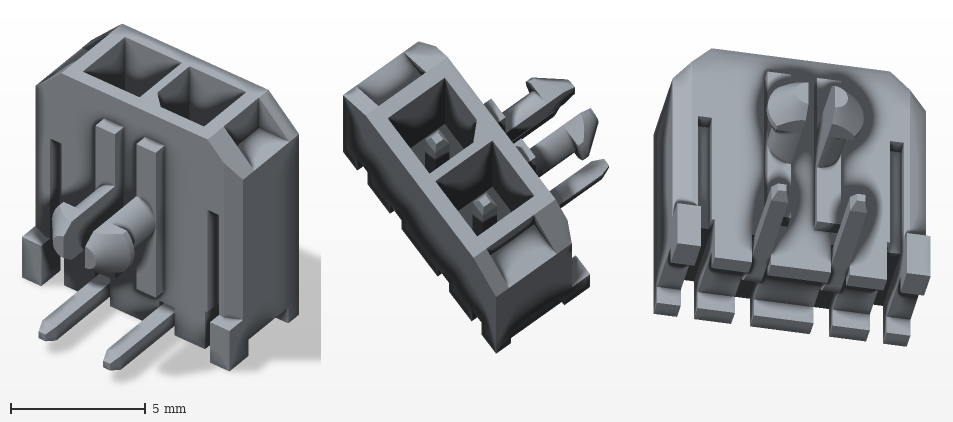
import cadquery as cq
import math


width = 9.65
height = 9.9
depth = 3.8
half_width = width / 2
front_y = -depth
corner_chamfer = 1.425
bevel_x = 0.675
bevel_y = 0.3
base_height = 1.9

standoff = 0.55
standoff_y = front_y - standoff

slot_outer_x = 3.92
slot_width = 0.53
slot_depth = 0.6
slot_top = 6.6
lower_slot_width = 0.64
lower_slot_top = 1.79

leg_gap = 1.0
rib_width = 0.9
rib_top = 8.7

tip_y = -7.55
leg_axis_x = leg_gap / 2
post_z = 5.35
shaft_radius = rib_width
head_radius = 1.325
nose_radius = 0.5
head_y = -6.25
cone_y = -6.5

pitch = 3.0
pin_size = 0.65
pin_tip_size = 0.32
pin_taper_length = 0.45
pin_y = -1.92
pin_tail_z = 0.72
pin_top = 8.0
bend_outer_radius = 0.9
bend_inner_radius = bend_outer_radius - pin_size

socket_size = 2.64
socket_floor = 3.0
key_chamfer = 0.62

end_pocket_back_y = -0.6
end_pocket_front_y = -2.8

channel_back_y = -0.68
channel_front_y = -3.15
channel_height = 0.76
pin_notch_width = 0.72
pin_notch_height = 1.31


def box(x_range, y_range, z_range):
    """Axis-aligned box between two limits along each axis."""
    (x0, x1), (y0, y1), (z0, z1) = x_range, y_range, z_range
    return cq.Workplane("XY").box(x1 - x0, y1 - y0, z1 - z0, centered=False).translate((x0, y0, z0))


def mirrored_pair(shape):
    """A shape on the +X side together with its mirror image."""
    return shape.union(shape.mirror("YZ"))


def housing_block():
    """Block with chamfered top corners and bevelled upright front corners."""
    block = box((-half_width, half_width), (front_y, 0), (0, height))
    block = block.edges("|Y and >Z").chamfer(corner_chamfer)
    bevel = (
        cq.Workplane("XY", origin=(0, 0, base_height))
        .moveTo(half_width, front_y)
        .lineTo(half_width, front_y + bevel_y)
        .lineTo(half_width - bevel_x, front_y)
        .close()
        .extrude(height - base_height)
    )
    return block.cut(mirrored_pair(bevel))


def feet():
    return mirrored_pair(box((slot_outer_x, half_width), (standoff_y, front_y + bevel_y), (0, base_height)))


def ribs():
    rib_x = (leg_axis_x, leg_axis_x + rib_width)
    return mirrored_pair(box(rib_x, (standoff_y, front_y), (base_height, rib_top)))


def foot_slots():
    """Blind slots in the front face, widened into through slots at the bottom."""
    upper_x = (slot_outer_x - slot_width, slot_outer_x)
    upper = box(upper_x, (front_y, front_y + slot_depth), (0, slot_top))
    lower_x = (slot_outer_x - lower_slot_width, slot_outer_x)
    lower = box(lower_x, (front_y, 0), (0, lower_slot_top))
    return mirrored_pair(upper.union(lower))


def end_pockets():
    pocket_x = (half_width - corner_chamfer, half_width)
    pocket_y = (end_pocket_front_y, end_pocket_back_y)
    return mirrored_pair(box(pocket_x, pocket_y, (height - corner_chamfer, height)))


def underside_channel():
    return box((-half_width, half_width), (channel_front_y, channel_back_y), (0, channel_height))


def socket(x, keyed):
    """Square socket around the pin at x; the keyed one has its inner front corner filled."""
    cavity = (
        cq.Workplane("XY", origin=(x, pin_y, socket_floor))
        .rect(socket_size, socket_size)
        .extrude(height - socket_floor)
    )
    if keyed:
        cavity = cavity.edges("|Z and <X and <Y").chamfer(key_chamfer)
    return cavity


def pin_notch(x):
    notch_x = (x - pin_notch_width / 2, x + pin_notch_width / 2)
    return box(notch_x, (front_y, 0), (0, pin_notch_height))


def snap_post():
    """Two rounded legs with conical heads, flattened to the height of the shaft."""
    leg = (
        cq.Workplane("XY")
        .moveTo(0, front_y)
        .lineTo(shaft_radius, front_y)
        .lineTo(shaft_radius, head_y)
        .lineTo(head_radius, head_y)
        .lineTo(head_radius, cone_y)
        .lineTo(nose_radius, tip_y)
        .lineTo(0, tip_y)
        .close()
        .revolve(360, (0, 0, 0), (0, 1, 0))
        .translate((leg_axis_x, 0, post_z))
    )
    outer_half = box(
        (leg_axis_x, leg_axis_x + head_radius),
        (tip_y, front_y),
        (post_z - shaft_radius, post_z + shaft_radius),
    )
    return mirrored_pair(leg.intersect(outer_half))


def pin_taper(plane):
    """Square taper narrowing along the normal of the given plane."""
    return (
        cq.Workplane(plane)
        .rect(pin_size, pin_size)
        .workplane(offset=pin_taper_length)
        .rect(pin_tip_size, pin_tip_size)
        .loft(combine=True)
    )


def pin(x):
    """Square pin running down from the socket, bent forward, with both ends tapered."""
    half_pin = pin_size / 2
    back = pin_y + half_pin
    front = pin_y - half_pin
    bottom = pin_tail_z - half_pin
    top = pin_tail_z + half_pin
    bend_y = back - bend_outer_radius
    bend_z = bottom + bend_outer_radius
    upright_end = pin_top - pin_taper_length
    tail_end = tip_y + pin_taper_length
    outer_mid = bend_outer_radius * math.sqrt(0.5)
    inner_mid = bend_inner_radius * math.sqrt(0.5)
    bent_bar = (
        cq.Workplane("YZ", origin=(x - half_pin, 0, 0))
        .moveTo(back, upright_end)
        .lineTo(back, bend_z)
        .threePointArc((bend_y + outer_mid, bend_z - outer_mid), (bend_y, bottom))
        .lineTo(tail_end, bottom)
        .lineTo(tail_end, top)
        .lineTo(bend_y, top)
        .threePointArc((bend_y + inner_mid, bend_z - inner_mid), (front, bend_z))
        .lineTo(front, upright_end)
        .close()
        .extrude(pin_size)
    )
    upper_tip = pin_taper(cq.Plane((x, pin_y, upright_end), (1, 0, 0), (0, 0, 1)))
    tail_tip = pin_taper(cq.Plane((x, tail_end, pin_tail_z), (1, 0, 0), (0, -1, 0)))
    return bent_bar.union(upper_tip).union(tail_tip)


result = housing_block().union(feet()).union(ribs())
result = result.cut(foot_slots()).cut(end_pockets()).cut(underside_channel())
for pin_x in (-pitch / 2, pitch / 2):
    result = result.cut(socket(pin_x, keyed=pin_x > 0)).cut(pin_notch(pin_x))
result = result.union(snap_post())
for pin_x in (-pitch / 2, pitch / 2):
    result = result.union(pin(pin_x))